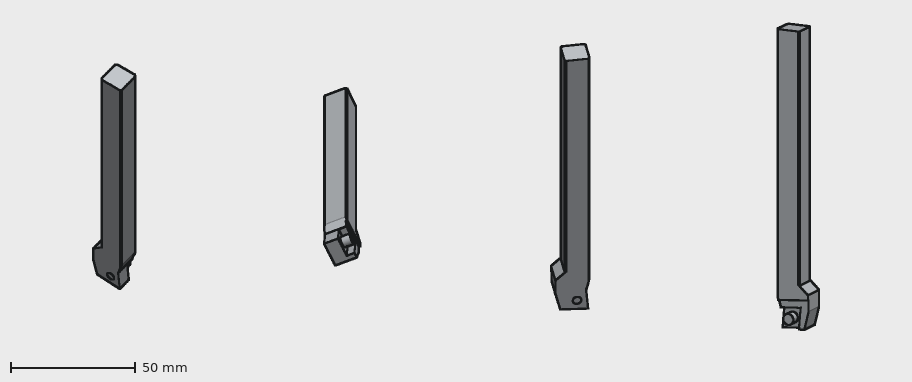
import cadquery as cq
import math

length = 124.4
shank_size = 10.2
total_width = 14.0
shank_left = total_width - shank_size
chamfer = 0.6

shoulder_bottom = 15.7
shoulder_top = 19.2
head_side_bottom = 8.8
heel_x = 2.0
tip_x = 13.4
edge_angle = 5.0
edge_tan = math.tan(math.radians(edge_angle))
heel_z = (tip_x - heel_x) * edge_tan
notch_z = 9.5
notch_x = tip_x - notch_z * edge_tan
relief_top = 14.8

step_depth = 0.7
step_top = 13.4
head_back = shank_size - step_depth

seat_floor = 6.1
seat_radius = 4.7

screw_x = 8.8
screw_z = 4.7
screw_diameter = 3.5
screw_head_diameter = 4.6

clearance = 6.2


def extrude_outline(points, y_start, y_end):
    """Extrude an XZ outline between two Y positions."""
    return (
        cq.Workplane("XZ", origin=(0, y_start, 0))
        .polyline(points)
        .close()
        .extrude(y_start - y_end)
    )


def screw_cylinder(diameter, y_start, y_end):
    """Cylinder on the screw axis between two Y positions."""
    return (
        cq.Workplane("XZ", origin=(screw_x, y_start, screw_z))
        .circle(diameter / 2)
        .extrude(y_start - y_end)
    )


def make_blank():
    outline = [
        (shank_left, length),
        (shank_left, shoulder_top),
        (0, shoulder_bottom),
        (0, head_side_bottom),
        (heel_x, heel_z),
        (tip_x, 0),
        (notch_x, notch_z),
        (total_width, relief_top),
        (total_width, length),
    ]
    blank = extrude_outline(outline, 0, shank_size)
    shank_middle = (length + shoulder_top) / 2
    top_corners = blank.faces(">Z").vertices().vals()
    for corner in top_corners:
        edge_point = (corner.X, corner.Y, shank_middle)
        blank = blank.edges(cq.NearestToPointSelector(edge_point)).chamfer(chamfer)
    return blank


def make_step_cutter():
    right = total_width + clearance
    outline = [
        (-clearance, step_top + clearance * edge_tan),
        (right, step_top - right * edge_tan),
        (right, -clearance),
        (-clearance, -clearance),
    ]
    return extrude_outline(outline, head_back, shank_size + clearance)


def make_seat_cutter():
    """Skewed pocket whose two walls run parallel to the cutting-edge sides."""
    offset = seat_radius / math.cos(math.radians(edge_angle))

    def top_wall_z(x):
        return screw_z + offset - (x - screw_x) * edge_tan

    def side_wall_x(z):
        return screw_x - offset - (z - screw_z) * edge_tan

    corner_x = screw_x - offset * (1 + edge_tan) / (1 - edge_tan**2)
    right = total_width + clearance
    outline = [
        (corner_x, top_wall_z(corner_x)),
        (right, top_wall_z(right)),
        (right, -clearance),
        (side_wall_x(-clearance), -clearance),
    ]
    return extrude_outline(outline, seat_floor, shank_size + clearance)


def make_holder():
    return (
        make_blank()
        .cut(make_step_cutter())
        .cut(make_seat_cutter())
        .cut(screw_cylinder(screw_diameter, 0, seat_floor))
    )


def make_screw():
    """Screw flush with the -Y face, its head resting on the seat floor."""
    shaft = screw_cylinder(screw_diameter, 0, seat_floor)
    head = screw_cylinder(screw_head_diameter, seat_floor, shank_size)
    return shaft.union(head)


holder = make_holder()
screw = make_screw()
result = cq.Compound.makeCompound([*holder.solids().vals(), *screw.solids().vals()])